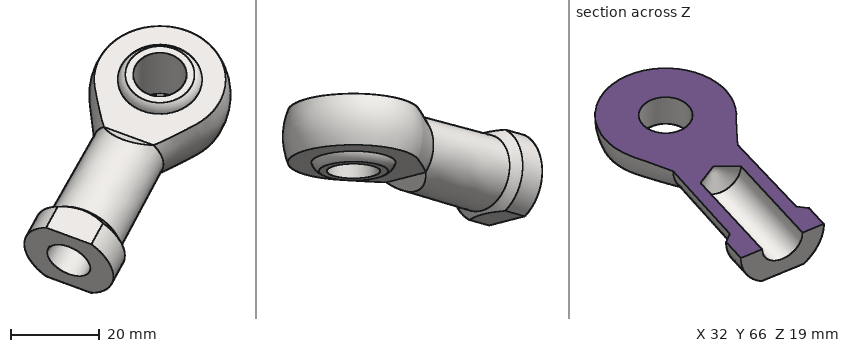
import cadquery as cq
import math

total_length = 66.0
eye_radius = 16.0
eye_thickness = 12.0
neck_angle = math.radians(30)

collar_base_radius = 9.5
collar_end_radius = 7.8
collar_bulge = 0.25
ball_width = 16.0
ball_bore_diameter = 12.0

shank_radius = 8.85
neck_end_radius = 8.6
bevel_length = 3.35

head_radius = 11.0
head_length = 8.4
head_chamfer_length = 2.0
head_across_flats = 19.0

thread_bore_diameter = 10.6
thread_bore_depth = 26.4
drill_point_angle = math.radians(118)

end_y = eye_radius - total_length
head_start_y = end_y + head_length

tangent_radius = eye_radius * math.cos(neck_angle)
tangent_y = -eye_radius * math.sin(neck_angle)
neck_end_y = tangent_y - (tangent_radius - neck_end_radius) / math.tan(neck_angle)


def turned_body():
    """Spherical eye, neck, shank and wrench head, revolved about Y."""
    return (
        cq.Workplane("XY")
        .moveTo(0, eye_radius)
        .threePointArc((eye_radius, 0), (tangent_radius, tangent_y))
        .lineTo(neck_end_radius, neck_end_y)
        .lineTo(shank_radius, head_start_y)
        .lineTo(head_radius, head_start_y - head_chamfer_length)
        .lineTo(head_radius, end_y)
        .lineTo(0, end_y)
        .close()
        .revolve(360, (0, 0, 0), (0, 1, 0))
    )


def side_envelope():
    """Side profile in YZ: eye faces, bevels to the shank, and wrench flats."""
    half_eye = eye_thickness / 2
    half_flats = head_across_flats / 2
    bevel_end_y = neck_end_y - bevel_length
    upper_edge = [
        (eye_radius, half_eye),
        (neck_end_y, half_eye),
        (bevel_end_y, shank_radius),
        (bevel_end_y, half_flats),
        (end_y, half_flats),
    ]
    lower_edge = [(y, -z) for y, z in reversed(upper_edge)]
    return (
        cq.Workplane("YZ")
        .polyline(upper_edge + lower_edge)
        .close()
        .extrude(eye_radius, both=True)
    )


def ball():
    """Bearing ball filling the eye, with a round-shouldered collar on each face."""
    half_eye = eye_thickness / 2
    half_ball = ball_width / 2
    return (
        cq.Workplane("XZ")
        .moveTo(0, -half_ball)
        .lineTo(collar_end_radius, -half_ball)
        .sagittaArc((collar_base_radius, -half_eye), -collar_bulge)
        .lineTo(collar_base_radius, half_eye)
        .sagittaArc((collar_end_radius, half_ball), -collar_bulge)
        .lineTo(0, half_ball)
        .close()
        .revolve(360, (0, 0, 0), (0, 1, 0))
    )


def ball_bore():
    return cq.Workplane("XY").circle(ball_bore_diameter / 2).extrude(ball_width, both=True)


def thread_bore():
    """Blind bore along the shank, with a conical drill point."""
    bore_radius = thread_bore_diameter / 2
    bore_end_y = end_y + thread_bore_depth
    point_length = bore_radius / math.tan(drill_point_angle / 2)
    return (
        cq.Workplane("XY")
        .moveTo(0, end_y)
        .lineTo(bore_radius, end_y)
        .lineTo(bore_radius, bore_end_y)
        .lineTo(0, bore_end_y + point_length)
        .close()
        .revolve(360, (0, 0, 0), (0, 1, 0))
    )


rod_end = turned_body().intersect(side_envelope())
result = rod_end.union(ball()).cut(ball_bore()).cut(thread_bore())